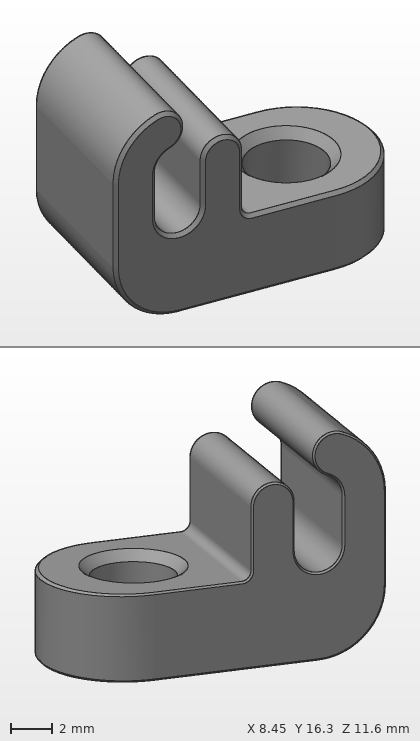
import cadquery as cq
import math

width = 8.45
length = 16.32
height = 11.6
base_thickness = 4.5
left_chamfer = 0.1
right_chamfer = 0.2

hole_diameter = 4.3
countersink_diameter = 5.3
countersink_angle = 90.0
hole_to_tongue_tip = 4.81

hook_thickness = 2.25
back_radius = 3.5
slot_width = 2.5
prong_width = 2.25
bend_height = 8.25
foot_radius = 0.49

half_width = width / 2
tongue_center_y = length - half_width
slot_radius = slot_width / 2
prong_radius = prong_width / 2
prong_back_y = hook_thickness + slot_width
prong_front_y = prong_back_y + prong_width
hook_inner_radius = back_radius - hook_thickness
tip_radius = hook_thickness / 2
bend_center = (back_radius, bend_height)

tip_distance = back_radius - tip_radius
tip_angle = math.pi - math.asin((height - tip_radius - bend_height) / tip_distance)


def on_circle(center, radius, angle):
    """Point (y, z) on a circle at an angle measured from +Y toward +Z."""
    return (center[0] + radius * math.cos(angle), center[1] + radius * math.sin(angle))


def side_profile():
    """Solid with the hook, slot, prong and straight part of the base, centred on x = 0."""
    tip_center = on_circle(bend_center, tip_distance, tip_angle)
    bend_middle_angle = (math.pi + tip_angle) / 2
    corner_middle = on_circle((back_radius, back_radius), back_radius, math.radians(225))
    foot_center = (prong_front_y + foot_radius, base_thickness + foot_radius)
    foot_middle = on_circle(foot_center, foot_radius, math.radians(225))
    outline = (
        cq.Workplane("YZ", origin=(-half_width, 0, 0))
        .moveTo(tongue_center_y, 0)
        .lineTo(back_radius, 0)
        .threePointArc(corner_middle, (0, back_radius))
        .lineTo(0, bend_height)
        .threePointArc(
            on_circle(bend_center, back_radius, bend_middle_angle),
            on_circle(bend_center, back_radius, tip_angle),
        )
        .threePointArc(
            on_circle(tip_center, tip_radius, tip_angle - math.pi / 2),
            on_circle(bend_center, hook_inner_radius, tip_angle),
        )
        .threePointArc(
            on_circle(bend_center, hook_inner_radius, bend_middle_angle),
            (hook_thickness, bend_height),
        )
        .lineTo(hook_thickness, base_thickness + slot_radius)
        .threePointArc(
            (hook_thickness + slot_radius, base_thickness),
            (prong_back_y, base_thickness + slot_radius),
        )
        .lineTo(prong_back_y, bend_height)
        .threePointArc(
            (prong_back_y + prong_radius, bend_height + prong_radius),
            (prong_front_y, bend_height),
        )
        .lineTo(prong_front_y, base_thickness + foot_radius)
        .threePointArc(foot_middle, (prong_front_y + foot_radius, base_thickness))
        .lineTo(tongue_center_y, base_thickness)
        .close()
    )
    return outline.extrude(width)


def chamfer_side(body, side, size):
    """Chamfer the outline of one side face, except where the tongue joins on."""
    outline = body.faces(side).edges().vals()
    joint_edges = body.faces(">Y").edges().vals()
    rim = [edge for edge in outline if not any(edge.isSame(other) for other in joint_edges)]
    return body.newObject(rim).chamfer(size)


def tongue_section(left_x, right_x, tip_y, left_z, right_z):
    """Half-round wire from the joint to the tip, tilted if its two heights differ."""
    left = cq.Vector(left_x, tongue_center_y, left_z)
    right = cq.Vector(right_x, tongue_center_y, right_z)
    tip = cq.Vector((left_x + right_x) / 2, tip_y, (left_z + right_z) / 2)
    return cq.Wire.assembleEdges(
        [cq.Edge.makeThreePointArc(left, tip, right), cq.Edge.makeLine(right, left)]
    )


def rounded_tongue():
    """Half-round tongue whose rim chamfer grows from the left size to the right size."""
    left_x = left_chamfer - half_width
    right_x = half_width - right_chamfer
    face_tip_y = length - (left_chamfer + right_chamfer) / 2
    top = base_thickness
    sections = [
        tongue_section(left_x, right_x, face_tip_y, 0, 0),
        tongue_section(-half_width, half_width, length, left_chamfer, right_chamfer),
        tongue_section(-half_width, half_width, length, top - left_chamfer, top - right_chamfer),
        tongue_section(left_x, right_x, face_tip_y, top, top),
    ]
    return cq.Workplane(cq.Solid.makeLoft(sections, True))


def drill_screw_hole(body):
    """Countersunk through hole in the tongue."""
    return (
        body.copyWorkplane(cq.Workplane("XY", origin=(0, length - hole_to_tongue_tip, base_thickness)))
        .cskHole(hole_diameter, countersink_diameter, countersink_angle)
    )


hook_body = chamfer_side(side_profile(), "<X", left_chamfer)
hook_body = chamfer_side(hook_body, ">X", right_chamfer)
result = drill_screw_hole(hook_body.union(rounded_tongue()))